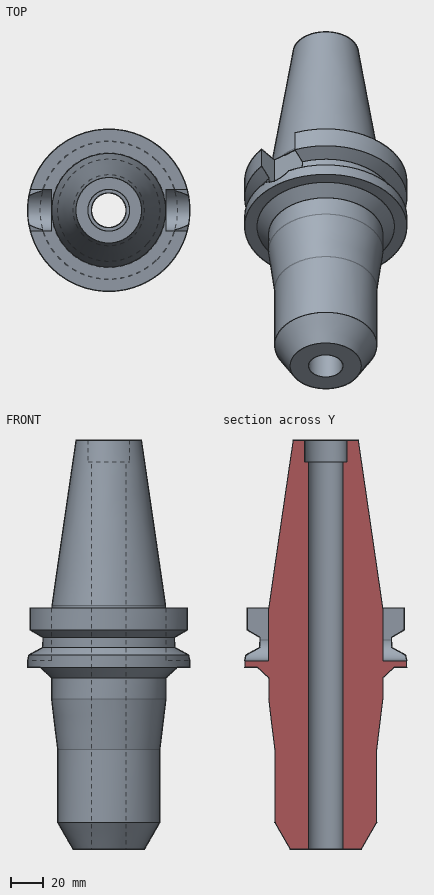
import cadquery as cq

total_height = 251.8
gauge_height = 150.0
flange_top = 148.5
groove_top = 135.0
groove_bottom = 119.5
flange_bottom = 112.0
collar_top = 105.5
collar_bottom = 92.5
body_top = 61.5
nose_height = 16.5

flange_radius = 100.0 / 2
groove_radius = 42.5
groove_wall_height = 4.5
flange_underside_radius = 42.3
collar_radius = 35.3
body_radius = 31.5
nose_radius = 22.0
gauge_radius = 35.0
taper_ratio = 7 / 24
small_end_radius = gauge_radius - (total_height - gauge_height) * taper_ratio / 2

through_radius = 10.5
counterbore_radius = 12.8
counterbore_depth = 13.3

slot_width = 25.7
slot_floor_x = 35.3
slot_bottom = 116.0


def make_body():
    """Revolve the outer outline about Z, from the nose up to the taper."""
    outline = [
        (0, 0),
        (nose_radius, 0),
        (body_radius, nose_height),
        (body_radius, body_top),
        (collar_radius, collar_bottom),
        (collar_radius, collar_top),
        (flange_underside_radius, flange_bottom),
        (flange_radius, flange_bottom),
        (flange_radius, groove_bottom),
        (groove_radius, groove_bottom + groove_wall_height),
        (groove_radius, groove_top - groove_wall_height),
        (flange_radius, groove_top),
        (flange_radius, flange_top),
        (gauge_radius, flange_top),
        (gauge_radius, gauge_height),
        (small_end_radius, total_height),
        (0, total_height),
    ]
    return cq.Workplane("XZ").polyline(outline).close().revolve(360, (0, 0), (0, 1))


def make_drive_slot(side):
    """Round-bottomed slot open at the flange top; side is -1 or +1 along X."""
    half_width = slot_width / 2
    arc_center = slot_bottom + half_width
    return (
        cq.Workplane("YZ", origin=(side * slot_floor_x, 0, 0))
        .moveTo(-half_width, flange_top)
        .lineTo(-half_width, arc_center)
        .threePointArc((0, slot_bottom), (half_width, arc_center))
        .lineTo(half_width, flange_top)
        .close()
        .extrude(side * flange_radius)
    )


def make_bore():
    """Through hole with a wider counterbore at the small end of the taper."""
    through_hole = cq.Workplane("XY").circle(through_radius).extrude(total_height)
    counterbore = (
        cq.Workplane("XY", origin=(0, 0, total_height - counterbore_depth))
        .circle(counterbore_radius)
        .extrude(counterbore_depth)
    )
    return through_hole.union(counterbore)


result = make_body().cut(make_bore())
for side in (-1, 1):
    result = result.cut(make_drive_slot(side))